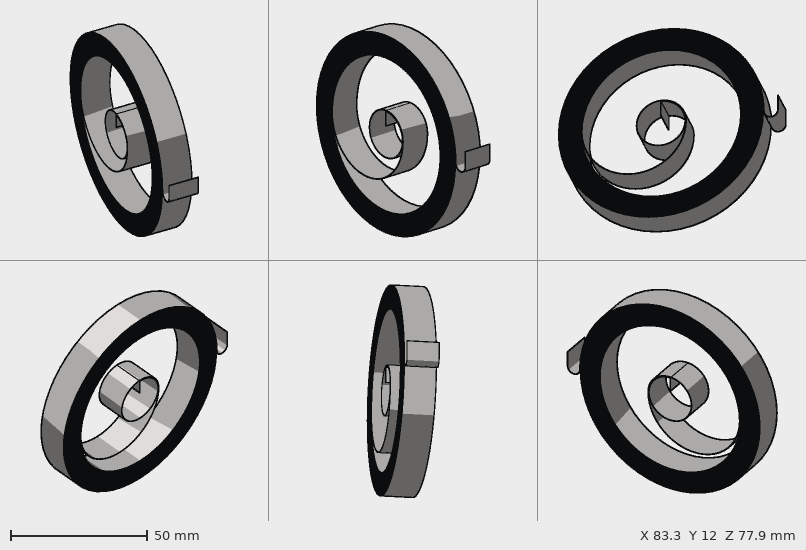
import cadquery as cq
import math


overall_length = 83.3
strip_width = 12.0
pitch = 0.3
clearance = 0.01
thickness = pitch - clearance

roll_radius = 9.0
tongue_length = 6.0
pack_turns = 29
hook_radius = 2.5
hook_leg = 6.0

half_step = pitch / 2
right_centre_z = -half_step
left_centre_z = 0
TOP, RIGHT, BOTTOM, LEFT, TOP_AGAIN = 90, 0, -90, -180, -270

pack_growth = pack_turns * pitch
hook_span = 2 * hook_radius + thickness
pack_radius = (overall_length - hook_span - 2 * (pack_growth + thickness) - half_step) / 2
last_radius = pack_radius + pack_growth + half_step


def right_arc(radius, start, end, centre_x=0):
    return (centre_x, right_centre_z, radius, start, end)


def left_arc(radius, start, end, centre_x=0):
    return (centre_x, left_centre_z, radius, start, end)


def roll_arcs():
    """One full turn, then a quarter turn laid over its start."""
    return [
        right_arc(roll_radius, TOP, BOTTOM),
        left_arc(roll_radius + half_step, BOTTOM, TOP_AGAIN),
        right_arc(roll_radius + pitch, TOP, RIGHT),
    ]


def sweep_arcs():
    """Two quarter turns from the right of the roll to the left of the coil pack."""
    start_x = roll_radius + pitch
    radius = (start_x + pack_radius - half_step) / 2
    centre_x = start_x - radius
    return [
        right_arc(radius, RIGHT, BOTTOM, centre_x),
        left_arc(radius + half_step, BOTTOM, LEFT, centre_x),
    ]


def pack_arcs():
    """From the left of the first turn, through the full turns, to the right of the last one."""
    pack = [left_arc(pack_radius, LEFT, TOP_AGAIN)]
    for turn in range(pack_turns):
        radius = pack_radius + turn * pitch
        pack.append(right_arc(radius + half_step, TOP, BOTTOM))
        pack.append(left_arc(radius + pitch, BOTTOM, TOP_AGAIN))
    pack.append(right_arc(last_radius, TOP, RIGHT))
    return pack


def arc_point(arc, offset, fraction):
    """Point part way along an arc, offset outward from its concave side."""
    centre_x, centre_z, radius, start, end = arc
    angle = math.radians(start + (end - start) * fraction)
    reach = radius + offset
    return (centre_x + reach * math.cos(angle), centre_z + reach * math.sin(angle))


arcs = roll_arcs() + sweep_arcs() + pack_arcs()

roll_convex_radius = roll_radius + thickness
corner_z = right_centre_z + math.sqrt(roll_convex_radius**2 - thickness**2)
tongue_end_z = right_centre_z + roll_convex_radius - tongue_length

hook_x = last_radius + thickness + hook_radius
hook_z = right_centre_z
hook_convex_radius = hook_radius + thickness
hook_top = hook_z + hook_leg

outline = (
    cq.Workplane("XZ", origin=(0, strip_width / 2, 0))
    .moveTo(*arc_point(arcs[0], 0, 0))
    .lineTo(0, tongue_end_z)
    .lineTo(-thickness, tongue_end_z)
    .lineTo(-thickness, corner_z)
    .lineTo(*arc_point(arcs[0], thickness, 0))
)

for arc in arcs:
    outline = outline.threePointArc(arc_point(arc, thickness, 0.5), arc_point(arc, thickness, 1))

outline = (
    outline
    .threePointArc((hook_x, hook_z - hook_radius), (hook_x + hook_radius, hook_z))
    .lineTo(hook_x + hook_radius, hook_top)
    .lineTo(hook_x + hook_convex_radius, hook_top)
    .lineTo(hook_x + hook_convex_radius, hook_z)
    .threePointArc((hook_x, hook_z - hook_convex_radius), (hook_x - hook_convex_radius, hook_z))
)

for arc in reversed(arcs):
    outline = outline.threePointArc(arc_point(arc, 0, 0.5), arc_point(arc, 0, 0))

result = outline.close().extrude(strip_width)